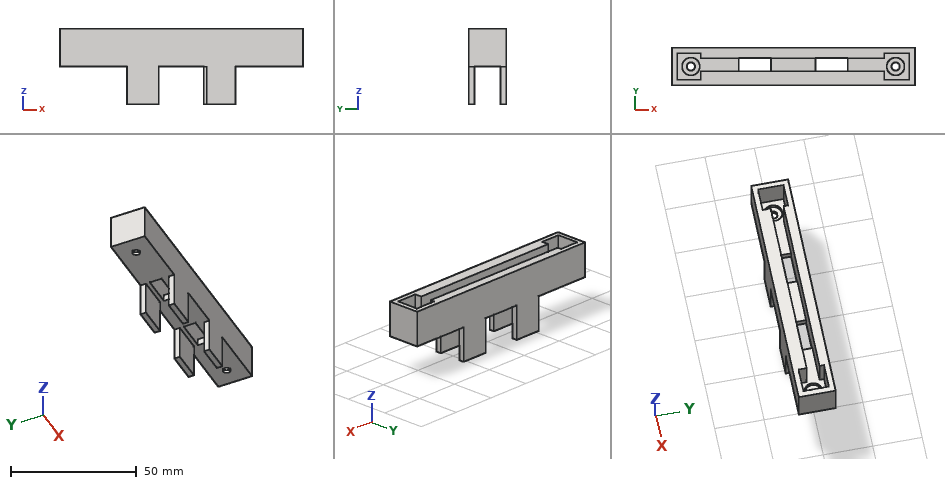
import cadquery as cq

length = 96.5
width = 15.0
body_height = 15.1
floor_thickness = 3.0

leg_height = 15.0
leg_thickness = 2.4
leg_end = 69.8
leg_width = 12.7
leg_starts = (26.5, leg_end - leg_width)
front_leg_setback = 1.2

left_pocket = (2.1, 11.4)
right_pocket = (84.4, 94.2)
pocket_margin = 2.3
slot_front = 5.6
slot_rear = 10.8

hole_centers = (7.5, 88.8)
hole_diameter = 3.2
counterbore_diameter = 7.0
counterbore_depth = 1.5


def block(x_range, y_range, z_range):
    """Box spanning the given start and end along each axis."""
    (x0, x1), (y0, y1), (z0, z1) = x_range, y_range, z_range
    return cq.Workplane("XY").box(x1 - x0, y1 - y0, z1 - z0, centered=False).translate((x0, y0, z0))


result = block((0, length), (0, width), (0, body_height))

front_side = (0, leg_thickness)
rear_side = (width - leg_thickness, width)
leg_span = (-leg_height, 0)
for start, setback in zip(leg_starts, (0, front_leg_setback)):
    end = start + leg_width
    result = result.union(block((start + setback, end), front_side, leg_span))
    result = result.union(block((start, end), rear_side, leg_span))

cavity = (floor_thickness, body_height)
slot_sides = (slot_front, slot_rear)
for pocket in (left_pocket, right_pocket):
    result = result.cut(block(pocket, (pocket_margin, width - pocket_margin), cavity))
result = result.cut(block((left_pocket[1], right_pocket[0]), slot_sides, cavity))

for start in leg_starts:
    result = result.cut(block((start, start + leg_width), slot_sides, (0, floor_thickness)))

floor_plane = cq.Workplane("XY", origin=(0, 0, floor_thickness))
result = (
    result.copyWorkplane(floor_plane)
    .pushPoints([(x, width / 2) for x in hole_centers])
    .cboreHole(hole_diameter, counterbore_diameter, counterbore_depth, floor_thickness)
)